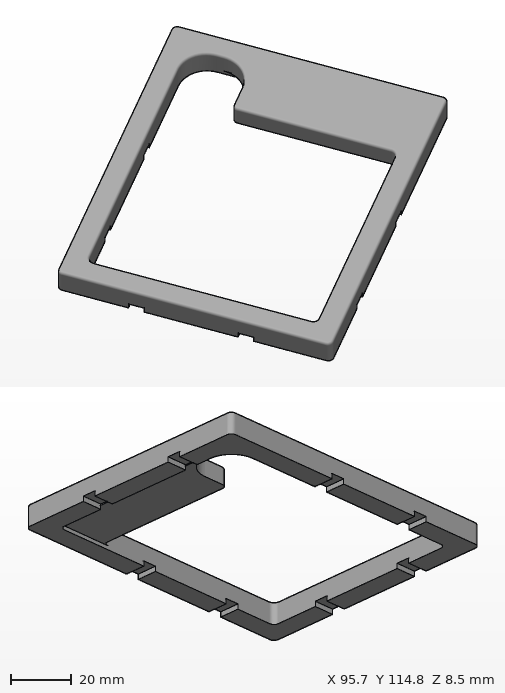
import cadquery as cq

width = 95.7
length = 114.8
thickness = 8.5
corner_radius = 2.0
top_edge_radius = 1.0

rim_width = 8.0
header_depth = 28.0
bay_width = 22.3
bay_corner_radius = 10.0

recess_depth = 1.5

notch_spacing = 38.1
notch_width = 5.4
notch_height = 2.0
side_notch_center_y = -10.9
front_notch_center_x = -1.1
back_notch_center_x = -1.4
back_notch_spacing = 39.5

pick_margin = 0.1

left = -width / 2
right = width / 2
front = -length / 2
back = length / 2

window_left = left + rim_width
window_right = right - rim_width
window_front = front + rim_width
window_back = back - header_depth
bay_right = window_left + bay_width
rim_back = back - rim_width


def make_plate():
    """Rectangular plate resting on Z = 0, with rounded upright corners."""
    plate = cq.Workplane("XY").box(width, length, thickness, centered=(True, True, False))
    return plate.edges("|Z").fillet(corner_radius)


def upright_prism(outline, height):
    """Solid on Z = 0 with the given outline."""
    return cq.Workplane("XY").polyline(outline).close().extrude(height)


def upright_edge_at(corner, height):
    """Selector for the upright edge that stands on the given corner."""
    x, y = corner
    return cq.selectors.BoxSelector(
        (x - pick_margin, y - pick_margin, 0),
        (x + pick_margin, y + pick_margin, height),
    )


def round_corners(prism, corners, radius, height):
    """Round the upright edges that stand on the given corners."""
    for corner in corners:
        prism = prism.edges("|Z").edges(upright_edge_at(corner, height)).fillet(radius)
    return prism


def make_opening():
    """Solid that fills the window and its bay through the full thickness."""
    window_corners = [
        (window_left, window_front),
        (window_right, window_front),
        (window_right, window_back),
        (bay_right, window_back),
    ]
    bay_corners = [(bay_right, rim_back), (window_left, rim_back)]
    opening = upright_prism(window_corners + bay_corners, thickness)
    opening = round_corners(opening, window_corners, corner_radius, thickness)
    return round_corners(opening, bay_corners, bay_corner_radius, thickness)


def make_underside_recess():
    """Shallow solid inside the rim that raises the underside of the header."""
    small_corners = [
        (window_left, window_front),
        (window_right, window_front),
        (window_right, rim_back),
    ]
    bay_corner = (window_left, rim_back)
    recess = upright_prism(small_corners + [bay_corner], recess_depth)
    recess = round_corners(recess, small_corners, corner_radius, recess_depth)
    return round_corners(recess, [bay_corner], bay_corner_radius, recess_depth)


def notch_pair(center_x, center_y, size_x, size_y, step_x=0, step_y=0):
    """Two equal cutters under the plate, a step apart and centred on the given point."""
    centers = [
        (center_x - step_x / 2, center_y - step_y / 2),
        (center_x + step_x / 2, center_y + step_y / 2),
    ]
    return cq.Workplane("XY").pushPoints(centers).rect(size_x, size_y).extrude(notch_height)


body = make_plate().cut(make_opening())
body = body.faces(">Z").edges().fillet(top_edge_radius)
body = body.cut(make_underside_recess())

side_notches = notch_pair(0, side_notch_center_y, width, notch_width, step_y=notch_spacing)
front_notches = notch_pair(
    front_notch_center_x, front + rim_width / 2, notch_width, rim_width, step_x=notch_spacing
)
back_notches = notch_pair(
    back_notch_center_x, back - rim_width / 2, notch_width, rim_width, step_x=back_notch_spacing
)

result = body.cut(front_notches).cut(back_notches).cut(side_notches)